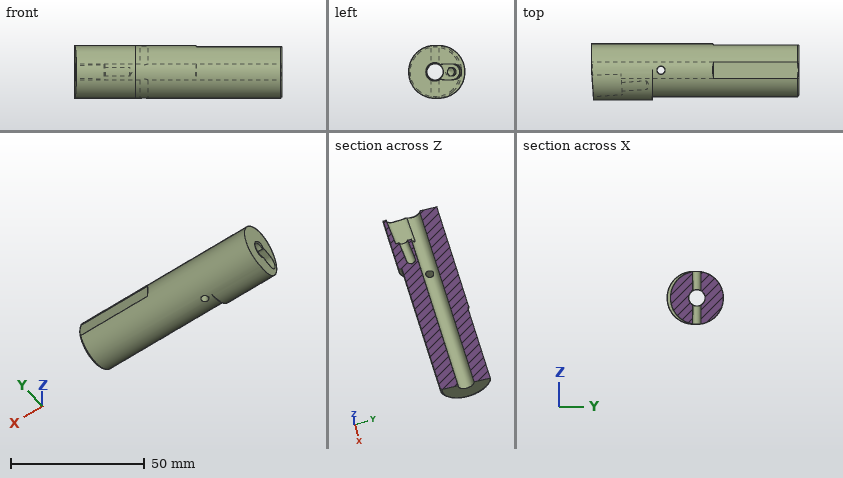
import cadquery as cq
import math

length = 78.0
body_radius = 10.0
lobe_offset = 1.25
lobe_length = 22.85
face_setback = 0.8
end_chamfer = 0.6

bore_radius = 3.05
bore_chamfer = 0.5

cross_hole_radius = 1.5
cross_hole_x = 26.1

flat_depth = 0.5
flat_start = 45.95

slot_half_width = 3.0
slot_outer_center = 7.0
slot_inner_center = 3.6
slot_depth = 10.9

pilot_center = 7.0
pilot_radius = 1.6
pilot_depth = 9.35
pilot_tip_half_angle = 59.0

lobe_reach = body_radius + lobe_offset
tilt = math.degrees(math.atan(face_setback / lobe_reach))


def make_body():
    """Round bar with its far rim chamfered and an eccentric lobe blended on at the front."""
    bar = cq.Workplane("YZ").circle(body_radius).extrude(length)
    bar = bar.faces(">X").chamfer(end_chamfer)
    lobe = cq.Workplane("YZ").center(-lobe_offset, 0).circle(body_radius).extrude(lobe_length)
    bridge = (
        cq.Workplane("YZ")
        .center(-lobe_offset / 2, 0)
        .rect(lobe_offset, 2 * body_radius)
        .extrude(lobe_length)
    )
    return bar.union(bridge).union(lobe)


def make_face_wedge():
    """Wedge that slopes the -Y half of the front face away from the end."""
    overrun = 2.0
    return (
        cq.Workplane("XY")
        .polyline([(0, 0), (face_setback * overrun, -lobe_reach * overrun), (0, -lobe_reach * overrun)])
        .close()
        .extrude(body_radius + 0.8, both=True)
    )


def make_bore():
    """Through bore with a countersunk front mouth."""
    bore = cq.Workplane("YZ").circle(bore_radius).extrude(length)
    mouth = cq.Solid.makeCone(
        bore_radius + bore_chamfer, bore_radius, bore_chamfer, dir=cq.Vector(1, 0, 0)
    )
    return bore.union(cq.Workplane(mouth))


def make_flat():
    """Cutter for a shallow flat on the +Z side, entered by a 45 degree ramp."""
    flat_z = body_radius - flat_depth
    clear_z = body_radius + 0.8
    ramp_top = flat_start + flat_z - clear_z
    return (
        cq.Workplane("XZ")
        .polyline([(flat_start, flat_z), (length, flat_z), (length, clear_z), (ramp_top, clear_z)])
        .close()
        .extrude(body_radius, both=True)
    )


def make_slot_and_pilot():
    """Round-ended slot and pointed blind hole, both sunk square to the sloped front face."""
    clearance = 0.8
    slot = (
        cq.Workplane("YZ")
        .workplane(offset=-clearance)
        .center(-(slot_inner_center + slot_outer_center) / 2, 0)
        .slot2D(slot_outer_center - slot_inner_center + 2 * slot_half_width, 2 * slot_half_width)
        .extrude(slot_depth + clearance)
    )
    pilot_end = slot_depth + pilot_depth
    tip_length = pilot_radius / math.tan(math.radians(pilot_tip_half_angle))
    pilot = (
        cq.Workplane("XY")
        .polyline([(0, 0), (pilot_end + tip_length, 0), (pilot_end, pilot_radius), (0, pilot_radius)])
        .close()
        .revolve(360, (0, 0, 0), (1, 0, 0))
        .translate((0, -pilot_center, 0))
    )
    return slot.union(pilot).rotate((0, 0, 0), (0, 0, 1), tilt)


cross_hole = (
    cq.Workplane("XY")
    .center(cross_hole_x, 0)
    .circle(cross_hole_radius)
    .extrude(body_radius + 0.8, both=True)
)

result = make_body().cut(make_face_wedge()).cut(make_bore()).cut(cross_hole).cut(make_slot_and_pilot())

for turn in (0, -90):
    result = result.cut(make_flat().rotate((0, 0, 0), (1, 0, 0), turn))